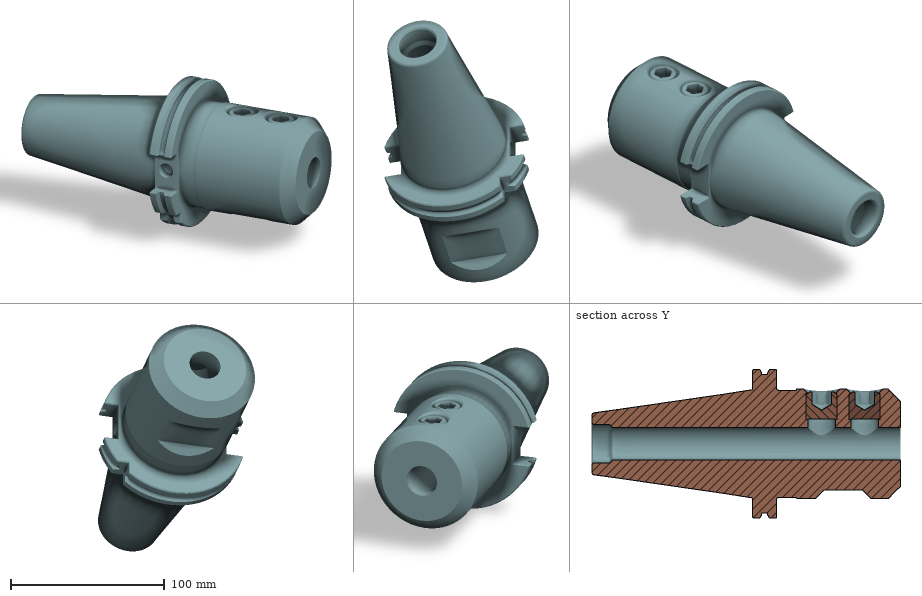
import cadquery as cq
import math

length = 201.5
taper_small_dia = 40.3
collar_dia = 70.4
neck_dia = 70.2
taper_ratio = 7 / 24
nose_fillet = 2.0
collar_fillet = 0.8
neck_fillet = 1.0

flange_start = 104.8
flange_width = 16.0
flange_dia = 97.4
flange_chamfer = 0.7
groove_opening = 6.2
groove_floor = 3.6
groove_depth = 3.2
groove_flare_depth = 2.2
flange_end = flange_start + flange_width
flange_middle = flange_start + flange_width / 2

slot_width = 25.8
near_slot_floor = 37.3
far_slot_floor = 35.5
notch_side = 30.2
notch_top = 30.5
dimple_dia = 7.0
dimple_mouth_dia = 10.0
dimple_mouth_depth = 5.6
dimple_depth = 10.0

body_dia = 71.5
body_start = 133.3
end_chamfer = 8.0
flat_depth = 5.5
flat_length = 25.0

bore_dia = 20.8
pilot_dia = 25.0
pilot_mouth_dia = 27.0
pilot_depth = 11.7
pilot_half_angle = math.radians(45)

screw_dia = 20.0
thread_core_dia = 17.7
screw_top_dia = 16.3
screw_top = 33.9
screw_bottom = 16.1
screw_positions = (150.0, 178.0)
sink_dia = 23.8
sink_half_angle = math.radians(45)
socket_flats = 10.9
socket_depth = 8.0

drill_half_angle = math.radians(59)


def cone_height(base_dia, top_dia, half_angle):
    return (base_dia - top_dia) / 2 / math.tan(half_angle)


def turned(points):
    """Solid of revolution about the X axis from (x, radius) points."""
    return cq.Workplane("XY").polyline(points).close().revolve(360, (0, 0, 0), (1, 0, 0))


def block(x_range, y_range, z_range):
    """Box between two limits on each axis."""
    (x0, x1), (y0, y1), (z0, z1) = x_range, y_range, z_range
    return cq.Workplane("XY").box(x1 - x0, y1 - y0, z1 - z0, centered=False).translate((x0, y0, z0))


def make_shank():
    """Taper and its short cylindrical collar, running into the flange."""
    taper_length = (collar_dia - taper_small_dia) / taper_ratio
    shank = turned([
        (0, 0),
        (0, taper_small_dia / 2),
        (taper_length, collar_dia / 2),
        (flange_middle, collar_dia / 2),
        (flange_middle, 0),
    ])
    return shank.faces("<X").edges().fillet(nose_fillet)


def make_body():
    """Neck and clamping body with its chamfered end."""
    body_radius = body_dia / 2
    return turned([
        (flange_middle, 0),
        (flange_middle, neck_dia / 2),
        (body_start, neck_dia / 2),
        (body_start, body_radius),
        (length - end_chamfer, body_radius),
        (length, body_radius - end_chamfer),
        (length, 0),
    ])


def make_flange():
    """Flange disc with drive slots, corner notch, chamfered edges and gripper groove."""
    radius = flange_dia / 2
    disc = cq.Workplane("YZ").workplane(offset=flange_start).circle(radius).extrude(flange_width)
    whole_width = (flange_start, flange_end)
    slot_range = (-slot_width / 2, slot_width / 2)
    disc = disc.cut(block(whole_width, (-radius, -near_slot_floor), slot_range))
    disc = disc.cut(block(whole_width, (far_slot_floor, radius), slot_range))
    disc = disc.cut(block(whole_width, (-radius, -notch_side), (-radius, -notch_top)))

    tolerance = 0.02
    edges_to_chamfer = []
    for edge in disc.edges().vals():
        middle = edge.Center()
        on_floor = abs(middle.z) < slot_width / 2 + tolerance and abs(middle.y) < near_slot_floor + tolerance
        at_notch_side = edge.geomType() == "LINE" and abs(middle.y + notch_side) < tolerance
        runs_through = abs(middle.x - flange_middle) < tolerance
        if not on_floor and not (at_notch_side and runs_through):
            edges_to_chamfer.append(edge)
    disc = disc.newObject(edges_to_chamfer).chamfer(flange_chamfer)

    floor_radius = radius - groove_depth
    flare_radius = radius - groove_flare_depth
    groove = turned([
        (flange_middle - groove_floor / 2, floor_radius),
        (flange_middle - groove_floor / 2, flare_radius),
        (flange_middle - groove_opening / 2, radius),
        (flange_middle + groove_opening / 2, radius),
        (flange_middle + groove_floor / 2, flare_radius),
        (flange_middle + groove_floor / 2, floor_radius),
    ])
    return disc.cut(groove)


def make_root(face_x, direction, root_dia, fillet):
    """Fillet ring that blends a flange face into the cylinder beside it."""
    radius = root_dia / 2
    far_x = face_x + direction * fillet
    arc_rise = fillet * (1 - math.sqrt(0.5))
    return (
        cq.Workplane("XY")
        .moveTo(face_x, radius - fillet)
        .lineTo(face_x, radius + fillet)
        .threePointArc((face_x + direction * arc_rise, radius + arc_rise), (far_x, radius))
        .lineTo(far_x, radius - fillet)
        .close()
        .revolve(360, (0, 0, 0), (1, 0, 0))
    )


def make_bore():
    """Through bore with a wider pilot at the small end of the taper."""
    mouth_depth = (pilot_mouth_dia - pilot_dia) / 2
    return turned([
        (0, 0),
        (0, pilot_mouth_dia / 2),
        (mouth_depth, pilot_dia / 2),
        (pilot_depth, pilot_dia / 2),
        (pilot_depth + cone_height(pilot_dia, bore_dia, pilot_half_angle), bore_dia / 2),
        (length, bore_dia / 2),
        (length, 0),
    ])


def make_dimple():
    """Blind drilled hole with a counterbored mouth in the near slot floor."""
    tip_depth = dimple_depth + cone_height(dimple_dia, 0, drill_half_angle)
    profile = [
        (0, 0),
        (dimple_mouth_dia / 2, 0),
        (dimple_mouth_dia / 2, dimple_mouth_depth),
        (dimple_dia / 2, dimple_mouth_depth),
        (dimple_dia / 2, dimple_depth),
        (0, tip_depth),
    ]
    hole = cq.Workplane("XY").polyline(profile).close().revolve(360, (0, 0, 0), (0, 1, 0))
    return hole.translate((flange_middle, -near_slot_floor, 0))


def make_flat():
    """Relief across the underside, centred below the screws, with 45 degree end walls."""
    floor_z = flat_depth - body_dia / 2
    drop = 2 * flat_depth
    flat_middle = sum(screw_positions) / len(screw_positions)
    flat_start = flat_middle - flat_length / 2
    flat_end = flat_middle + flat_length / 2
    outline = [
        (flat_start, floor_z),
        (flat_end, floor_z),
        (flat_end + drop, floor_z - drop),
        (flat_start - drop, floor_z - drop),
    ]
    return cq.Workplane("XZ").polyline(outline).close().extrude(body_dia / 2, both=True)


def make_screw_blank(x):
    """Set screw with a chamfered top, before its socket is cut."""
    height = screw_top - screw_bottom
    blank = cq.Workplane("XY").workplane(offset=screw_bottom).circle(screw_dia / 2).extrude(height)
    blank = blank.faces(">Z").edges().chamfer((screw_dia - screw_top_dia) / 2)
    return blank.translate((x, 0, 0))


def make_screw_hole(x):
    """Threaded hole from the axis to the top of the body, countersunk at the surface."""
    surface = body_dia / 2
    sink_bottom = surface - cone_height(sink_dia, thread_core_dia, sink_half_angle)
    rise = 2.0
    wide_radius = sink_dia / 2 + rise * math.tan(sink_half_angle)
    profile = [
        (0, 0),
        (thread_core_dia / 2, 0),
        (thread_core_dia / 2, sink_bottom),
        (wide_radius, surface + rise),
        (0, surface + rise),
    ]
    hole = cq.Workplane("XZ").polyline(profile).close().revolve(360, (0, 0, 0), (0, 1, 0))
    return hole.translate((x, 0, 0)).union(make_screw_blank(x))


def make_screw(x):
    """Set screw with a drilled hexagon socket."""
    socket_corners = socket_flats / math.cos(math.pi / 6)
    cone_depth = cone_height(socket_corners, 0, drill_half_angle)
    socket_floor = screw_top - socket_depth
    hexagon = (
        cq.Workplane("XY")
        .workplane(offset=socket_floor - cone_depth)
        .polygon(6, socket_corners)
        .extrude(socket_depth + cone_depth)
    )
    drill_profile = [
        (0, socket_floor - cone_depth),
        (socket_corners / 2, socket_floor),
        (socket_corners / 2, screw_top),
        (0, screw_top),
    ]
    drill = cq.Workplane("XZ").polyline(drill_profile).close().revolve(360, (0, 0, 0), (0, 1, 0))
    socket = hexagon.intersect(drill).translate((x, 0, 0))
    return make_screw_blank(x).cut(socket)


holder = make_shank().union(make_body()).union(make_flange())
holder = holder.union(make_root(flange_start, -1, collar_dia, collar_fillet))
holder = holder.union(make_root(flange_end, 1, neck_dia, neck_fillet))
holder = holder.cut(make_bore()).cut(make_dimple()).cut(make_flat())
for position in screw_positions:
    holder = holder.cut(make_screw_hole(position))

screws = [make_screw(position) for position in screw_positions]

result = cq.Compound.makeCompound([holder.val(), *[screw.val() for screw in screws]])